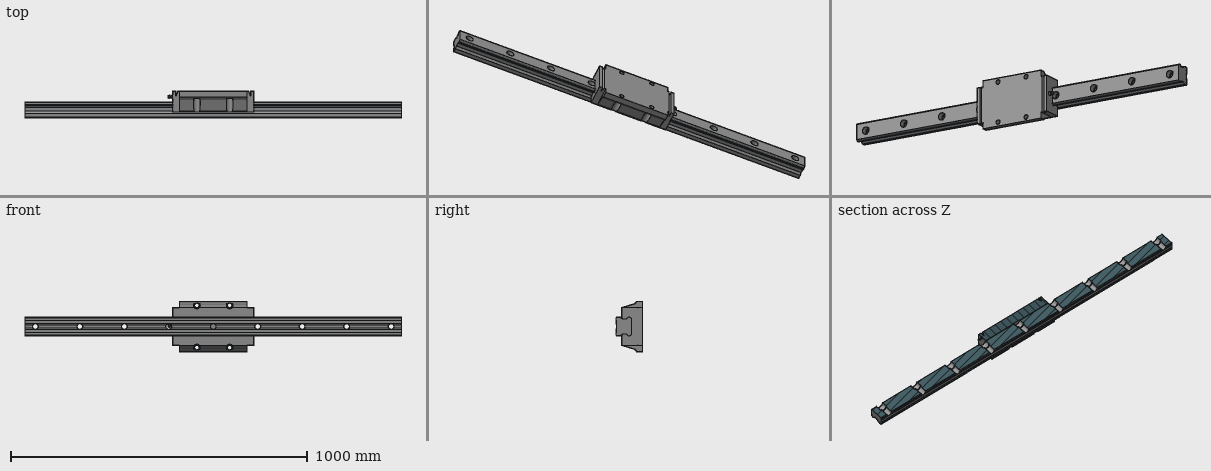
import cadquery as cq


RAIL_LENGTH = 1270.0
RAIL_WIDTH = 64.0
RAIL_HEIGHT = 53.0
RAIL_FOOT_CHAMFER = 3.0
RAIL_FOOT_HEIGHT = 15.0
RAIL_NECK_WIDTH = 51.0
RAIL_NECK_START = 23.0
RAIL_NECK_END = 35.0
RAIL_HEAD_START = 42.0
RAIL_HEAD_END = 46.0
RAIL_SHOULDER_WIDTH = 60.0
RAIL_SHOULDER_HEIGHT = 50.0
RAIL_TOP_WIDTH = 53.0

RELIEF_WIDTH = 42.0
RELIEF_DEPTH = 0.6
GROOVE_MOUTH_WIDTH = 19.0
GROOVE_FLOOR_WIDTH = 11.0
GROOVE_DEPTH = 1.9

RAIL_HOLE_COUNT = 9
RAIL_HOLE_PITCH = 150.0
RAIL_HOLE_DIAMETER = 19.0
RAIL_BORE_DIAMETER = 25.0
RAIL_BORE_DEPTH = 22.0

CARRIAGE_TOP = 90.0
CARRIAGE_BOTTOM = 19.0
CARRIAGE_LENGTH = 274.0
CAP_WIDTH = 127.0
BODY_WIDTH = 130.0
BODY_EDGE_CHAMFER = 4.0

BODY_LENGTH = 229.0
FLANGE_WIDTH = 170.0
FLANGE_EDGE_THICKNESS = 20.0
FLANGE_BEVEL_WIDTH = 8.0
FLANGE_BEVEL_HEIGHT = 5.0
FLANGE_ROOT_RADIUS = 10.0

CAP_GROOVE_X = 126.0
CAP_GROOVE_WIDTH = 6.0
CAP_GROOVE_DEPTH = 15.0

BOLT_SPACING_X = 110.0
BOLT_SPACING_Z = 142.0
BOLT_HOLE_DIAMETER = 15.0
BOLT_RECESS_DIAMETER = 23.0
BOLT_SEAT_DEPTH = 25.0

NIPPLE_Y = 71.0
NIPPLE_Z = 3.0
NIPPLE_LENGTH = 15.0
NIPPLE_COLLAR_RADIUS = 7.0
NIPPLE_COLLAR_LENGTH = 5.0
NIPPLE_NECK_RADIUS = 3.0
NIPPLE_HEAD_RADIUS = 6.0
NIPPLE_HEAD_LENGTH = 6.0
NIPPLE_TIP_RADIUS = 4.0

CARRIAGE_CENTRE_Y = (CARRIAGE_TOP + CARRIAGE_BOTTOM) / 2
CARRIAGE_HEIGHT = CARRIAGE_TOP - CARRIAGE_BOTTOM


def mirrored_bar(half_outline, length):
    """Bar along X, centred on X = 0, from the (z, y) points of one half of its section."""
    near = [(y, z) for z, y in half_outline]
    far = [(y, -z) for z, y in reversed(half_outline)]
    return cq.Workplane("YZ").polyline(near + far).close().extrude(length / 2, both=True)


def rail_bar(length):
    """Plain rail section, also used to cut the channel of the carriage."""
    return mirrored_bar([
        (RAIL_WIDTH / 2 - RAIL_FOOT_CHAMFER, 0),
        (RAIL_WIDTH / 2, RAIL_FOOT_CHAMFER),
        (RAIL_WIDTH / 2, RAIL_FOOT_HEIGHT),
        (RAIL_NECK_WIDTH / 2, RAIL_NECK_START),
        (RAIL_NECK_WIDTH / 2, RAIL_NECK_END),
        (RAIL_WIDTH / 2, RAIL_HEAD_START),
        (RAIL_WIDTH / 2, RAIL_HEAD_END),
        (RAIL_SHOULDER_WIDTH / 2, RAIL_SHOULDER_HEIGHT),
        (RAIL_TOP_WIDTH / 2, RAIL_HEIGHT),
    ], length)


def rail_underside():
    """Relief and tapered groove removed along the base of the rail."""
    return mirrored_bar([
        (RELIEF_WIDTH / 2, 0),
        (RELIEF_WIDTH / 2, RELIEF_DEPTH),
        (GROOVE_MOUTH_WIDTH / 2, RELIEF_DEPTH),
        (GROOVE_FLOOR_WIDTH / 2, GROOVE_DEPTH),
    ], RAIL_LENGTH)


def hole_down(diameter, x, top_y, z, depth):
    """Cylinder along Y that reaches from top_y down by depth."""
    return cq.Workplane("XZ", origin=(x, top_y, z)).circle(diameter / 2).extrude(depth)


def make_rail():
    rail = rail_bar(RAIL_LENGTH).cut(rail_underside())
    for i in range(RAIL_HOLE_COUNT):
        x = (i - (RAIL_HOLE_COUNT - 1) / 2) * RAIL_HOLE_PITCH
        rail = rail.cut(hole_down(RAIL_HOLE_DIAMETER, x, RAIL_HEIGHT, 0, RAIL_HEIGHT))
        rail = rail.cut(hole_down(RAIL_BORE_DIAMETER, x, RAIL_HEIGHT, 0, RAIL_BORE_DEPTH))
    return rail


def end_caps():
    """Full-length block whose two ends form the caps beyond the body."""
    caps = cq.Workplane("XY").box(CARRIAGE_LENGTH, CARRIAGE_HEIGHT, CAP_WIDTH)
    return caps.translate((0, CARRIAGE_CENTRE_Y, 0))


def carriage_body():
    """Body with sloping side walls and overhanging bolt flanges with rounded roots."""
    edge_y = CARRIAGE_TOP - FLANGE_EDGE_THICKNESS
    root_z = FLANGE_WIDTH / 2 - FLANGE_BEVEL_WIDTH
    root_y = edge_y - FLANGE_BEVEL_HEIGHT
    body = mirrored_bar([
        (BODY_WIDTH / 2 - BODY_EDGE_CHAMFER, CARRIAGE_BOTTOM),
        (BODY_WIDTH / 2, CARRIAGE_BOTTOM + BODY_EDGE_CHAMFER),
        (root_z, root_y),
        (FLANGE_WIDTH / 2, edge_y),
        (FLANGE_WIDTH / 2, CARRIAGE_TOP),
    ], BODY_LENGTH)
    for z in (-root_z, root_z):
        root_edge = cq.selectors.NearestToPointSelector((0, root_y, z))
        body = body.edges("|X").edges(root_edge).fillet(FLANGE_ROOT_RADIUS)
    return body


def cap_groove(end):
    """V groove across the top of an end cap, upright on its outer side; end is -1 or 1."""
    outer_x = end * CAP_GROOVE_X
    inner_x = end * (CAP_GROOVE_X - CAP_GROOVE_WIDTH)
    return cq.Workplane("XY").polyline([
        (outer_x, CARRIAGE_TOP),
        (inner_x, CARRIAGE_TOP),
        (outer_x, CARRIAGE_TOP - CAP_GROOVE_DEPTH),
    ]).close().extrude(CAP_WIDTH, both=True)


def make_carriage():
    carriage = end_caps().union(carriage_body())
    for end in (-1, 1):
        carriage = carriage.cut(cap_groove(end))
    seat_y = CARRIAGE_TOP - BOLT_SEAT_DEPTH
    for x in (-BOLT_SPACING_X / 2, BOLT_SPACING_X / 2):
        for z in (-BOLT_SPACING_Z / 2, BOLT_SPACING_Z / 2):
            carriage = carriage.cut(hole_down(BOLT_HOLE_DIAMETER, x, CARRIAGE_TOP, z, CARRIAGE_HEIGHT))
            carriage = carriage.cut(hole_down(BOLT_RECESS_DIAMETER, x, seat_y, z, seat_y))
    return carriage.cut(rail_bar(RAIL_LENGTH))


def make_nipple():
    """Turned nipple standing out from the -X end of the carriage."""
    head_start = NIPPLE_LENGTH - NIPPLE_HEAD_LENGTH
    half_section = cq.Workplane("XY").polyline([
        (0, 0),
        (0, NIPPLE_COLLAR_RADIUS),
        (-NIPPLE_COLLAR_LENGTH, NIPPLE_NECK_RADIUS),
        (-head_start, NIPPLE_NECK_RADIUS),
        (-head_start, NIPPLE_HEAD_RADIUS),
        (-NIPPLE_LENGTH, NIPPLE_TIP_RADIUS),
        (-NIPPLE_LENGTH, 0),
    ]).close()
    nipple = half_section.revolve(360, (0, 0, 0), (1, 0, 0))
    return nipple.translate((-CARRIAGE_LENGTH / 2, NIPPLE_Y, NIPPLE_Z))


rail = make_rail()
carriage = make_carriage()
nipple = make_nipple()

result = cq.Compound.makeCompound([rail.val(), carriage.val(), nipple.val()])